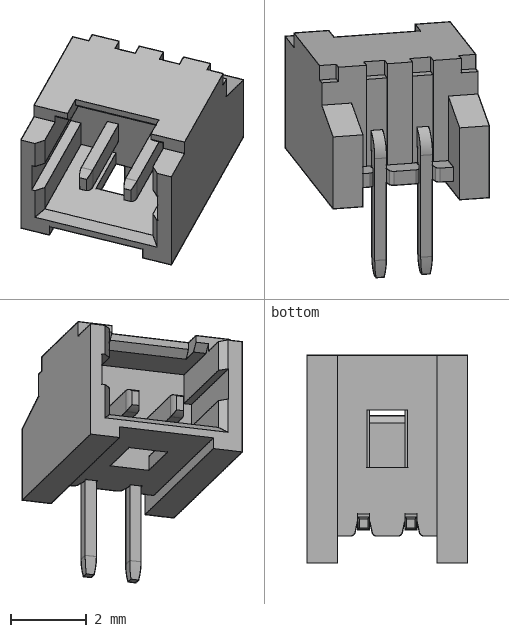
import cadquery as cq
import math


width = 4.25
depth = 5.5
height = 3.5
body_depth = 4.2
cheek_inner = 1.315
cheek_end_height = 2.0
cheek_root_height = 2.48
foot_height = 0.3
step_height = 3.1

cavity_half_width = 1.525
cavity_depth = 2.97
cavity_floor = 0.69
lead_in_depth = 0.21
lead_in_side = 0.2
lead_in_floor = 0.185
groove_bottom = 1.44
groove_top = 2.29
groove_left = 1.815
groove_right = 1.735
floor_window_half_width = 0.54
floor_window_start = 1.455

roof_lead_in_height = 0.21
roof_lead_in_depth = 0.2
step_depth = 1.0
roof_notch_half_width = 1.175
roof_notch_depth = 1.6
corner_notch_width = 0.455
corner_notch_depth = 0.26
pin_notch_width = 0.565
pin_notch_depth = 0.305
pin_recess_depth = 0.02

plate_top = cavity_floor
plate_end = 4.79
slot_straight_end = 4.4
slot_taper_end = 4.7
slot_taper_half_width = 0.225
slot_mouth_half_width = 0.33
mouth_bulge = 0.012

pitch = 1.25
pin_count = 2
pin_half_width = 0.16
pin_front = 0.7
pin_tip_length = 0.3
pin_bottom = 1.13
pin_top = 1.725
pin_tip_inset_z = 0.1
pin_tip_inset_x = 0.06
leg_front = 4.28
leg_rear = 4.62
leg_end = -2.3
leg_tip_length = 0.5
leg_tip_inset_x = 0.05
leg_tip_inset_y = 0.05
bend_radius = 0.7

half_width = width / 2
pin_positions = [(i - (pin_count - 1) / 2) * pitch for i in range(pin_count)]


def block(x0, x1, y0, y1, z0, z1):
    """Axis-aligned box given by its limits."""
    return cq.Workplane("XY").box(x1 - x0, y1 - y0, z1 - z0, centered=False).translate((x0, y0, z0))


def tip_arc_middle(root, end):
    """Point halfway along a tip arc that leaves `root` parallel to the pin axis.

    Both points are (offset across the axis, position along the axis).
    """
    inset = end[0] - root[0]
    length = end[1] - root[1]
    radius = (inset**2 + length**2) / (2 * abs(inset))
    half_angle = math.asin(abs(length) / radius) / 2
    across = root[0] + math.copysign(radius * (1 - math.cos(half_angle)), inset)
    along = root[1] + math.copysign(radius * math.sin(half_angle), length)
    return (across, along)


def make_shell():
    """Solid housing: body, sloped cheeks, rear plate and the channel between the feet."""
    outline = [
        (0, 0),
        (depth, 0),
        (depth, cheek_end_height),
        (body_depth, cheek_root_height),
        (body_depth, height),
        (0, height),
    ]
    shell = cq.Workplane("YZ").polyline(outline).close().extrude(half_width, both=True)
    shell = shell.cut(block(-cheek_inner, cheek_inner, body_depth, depth, plate_top, height))
    shell = shell.cut(block(-cheek_inner, cheek_inner, plate_end, depth, 0, height))
    return shell.cut(block(-cheek_inner, cheek_inner, 0, depth, 0, foot_height))


def make_cavity():
    """Mating cavity with side grooves, flared mouth and floor window."""
    cavity = block(-cavity_half_width, cavity_half_width, 0, cavity_depth, cavity_floor, step_height)
    cavity = cavity.union(block(-groove_left, groove_right, 0, cavity_depth, groove_bottom, groove_top))

    mouth_half_width = cavity_half_width + lead_in_side
    mouth_floor = cavity_floor - lead_in_floor
    mouth = (
        cq.Workplane("XZ")
        .polyline([
            (-mouth_half_width, mouth_floor),
            (mouth_half_width, mouth_floor),
            (mouth_half_width, step_height),
            (-mouth_half_width, step_height),
        ])
        .close()
        .workplane(offset=-lead_in_depth)
        .polyline([
            (-cavity_half_width, cavity_floor),
            (cavity_half_width, cavity_floor),
            (cavity_half_width, step_height),
            (-cavity_half_width, step_height),
        ])
        .close()
        .loft(ruled=True)
    )
    window = block(
        -floor_window_half_width, floor_window_half_width,
        floor_window_start, cavity_depth,
        0, step_height,
    )
    return cavity.union(mouth).union(window)


def make_roof_lead_in(half_span, front):
    """Wedge that chamfers the lower edge of a roof face standing at Y = front."""
    return (
        cq.Workplane("YZ")
        .polyline([
            (front, step_height),
            (front + roof_lead_in_depth, step_height),
            (front, step_height + roof_lead_in_height),
        ])
        .close()
        .extrude(half_span, both=True)
    )


def cut_roof(housing):
    """Lower the front rim, open the roof notch, chamfer both and notch the two rear corners."""
    housing = housing.cut(block(-half_width, half_width, 0, step_depth, step_height, height))
    housing = housing.cut(
        block(-roof_notch_half_width, roof_notch_half_width, 0, roof_notch_depth, step_height, height)
    )
    housing = housing.cut(make_roof_lead_in(cavity_half_width, step_depth))
    housing = housing.cut(make_roof_lead_in(roof_notch_half_width, roof_notch_depth))
    corner_notch_start = body_depth - corner_notch_depth
    for x0 in (-half_width, half_width - corner_notch_width):
        housing = housing.cut(
            block(x0, x0 + corner_notch_width, corner_notch_start, body_depth, step_height, height)
        )
    return housing


def make_pin_relief(x):
    """Roof notch and rear-face recess above one pin, with the leg slot in the plate."""
    x0 = x - pin_notch_width / 2
    x1 = x + pin_notch_width / 2
    notch = block(x0, x1, body_depth - pin_notch_depth, body_depth, step_height, height)
    recess = block(x0, x1, body_depth - pin_recess_depth, body_depth, plate_top, height)

    middle_x = (slot_taper_half_width + slot_mouth_half_width) / 2 - mouth_bulge
    middle_y = (slot_taper_end + plate_end) / 2 + mouth_bulge
    slot = (
        cq.Workplane("XY")
        .moveTo(-pin_half_width, body_depth)
        .lineTo(pin_half_width, body_depth)
        .lineTo(pin_half_width, slot_straight_end)
        .lineTo(slot_taper_half_width, slot_taper_end)
        .threePointArc((middle_x, middle_y), (slot_mouth_half_width, plate_end))
        .lineTo(-slot_mouth_half_width, plate_end)
        .threePointArc((-middle_x, middle_y), (-slot_taper_half_width, slot_taper_end))
        .lineTo(-pin_half_width, slot_straight_end)
        .close()
        .extrude(plate_top)
        .translate((x, 0, 0))
    )
    return notch.union(recess).union(slot)


def tapered_strip(plane, root, end, inset, far):
    """Symmetric strip of pin width along the second plane axis, narrowing from root to end."""
    right_root = (pin_half_width, root)
    right_end = (pin_half_width - inset, end)
    middle = tip_arc_middle(right_root, right_end)
    return (
        cq.Workplane(plane)
        .moveTo(-pin_half_width, far)
        .lineTo(pin_half_width, far)
        .lineTo(*right_root)
        .threePointArc(middle, right_end)
        .lineTo(-right_end[0], end)
        .threePointArc((-middle[0], middle[1]), (-pin_half_width, root))
        .close()
        .extrude(2 * depth, both=True)
    )


def make_pin():
    """Bent pin on X = 0 with rounded tapers on both ends."""
    pin_tip_root = pin_front + pin_tip_length
    leg_tip_root = leg_end + leg_tip_length
    bend_y = leg_rear - bend_radius
    bend_z = pin_top - bend_radius
    bend_middle = bend_radius * math.sqrt(0.5)

    arm_top_end = (pin_front, pin_top - pin_tip_inset_z)
    arm_bottom_end = (pin_front, pin_bottom + pin_tip_inset_z)
    arm_top_middle = tip_arc_middle((pin_top, pin_tip_root), arm_top_end[::-1])[::-1]
    arm_bottom_middle = tip_arc_middle((pin_bottom, pin_tip_root), arm_bottom_end[::-1])[::-1]

    leg_front_end = (leg_front + leg_tip_inset_y, leg_end)
    leg_rear_end = (leg_rear - leg_tip_inset_y, leg_end)
    profile = (
        cq.Workplane("YZ")
        .moveTo(pin_tip_root, pin_top)
        .lineTo(bend_y, pin_top)
        .threePointArc((bend_y + bend_middle, bend_z + bend_middle), (leg_rear, bend_z))
        .lineTo(leg_rear, leg_tip_root)
        .threePointArc(tip_arc_middle((leg_rear, leg_tip_root), leg_rear_end), leg_rear_end)
        .lineTo(*leg_front_end)
        .threePointArc(tip_arc_middle((leg_front, leg_tip_root), leg_front_end), (leg_front, leg_tip_root))
        .lineTo(leg_front, pin_bottom)
        .lineTo(pin_tip_root, pin_bottom)
        .threePointArc(arm_bottom_middle, arm_bottom_end)
        .lineTo(*arm_top_end)
        .threePointArc(arm_top_middle, (pin_tip_root, pin_top))
        .close()
        .extrude(pin_half_width, both=True)
    )
    arm_taper = tapered_strip("XY", pin_tip_root, pin_front, pin_tip_inset_x, depth)
    leg_taper = tapered_strip("XZ", leg_tip_root, leg_end, leg_tip_inset_x, height)
    return profile.intersect(arm_taper).intersect(leg_taper)


housing = cut_roof(make_shell().cut(make_cavity()))
for pin_x in pin_positions:
    housing = housing.cut(make_pin_relief(pin_x))

result = housing
pin = make_pin()
for pin_x in pin_positions:
    result = result.union(pin.translate((pin_x, 0, 0)))